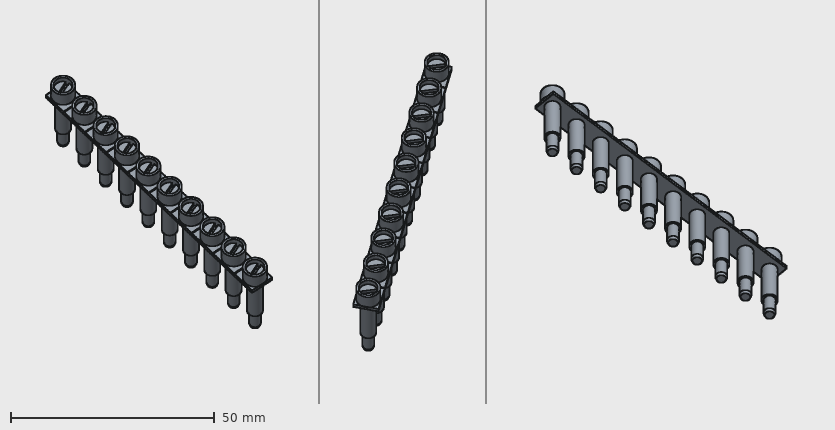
import cadquery as cq

screw_count = 10
pitch = 8.2
first_screw_x = -(screw_count - 1) * pitch / 2

plate_length = 79.3
plate_width = 6.4
plate_thickness = 1.0
groove_width = 0.2
groove_depth = 0.1

head_diameter = 6.0
head_height = 4.0
recess_diameter = 4.7
recess_depth = 1.5
slot_width = 0.9
slot_depth = 1.0
slot_angle = 112.5

shank_diameter = 4.0
shank_length = 12.0
tip_diameter = 3.0
tip_length = 5.8
taper_height = 0.9
taper_inset = 0.3

head_top_z = plate_thickness + head_height
recess_floor_z = head_top_z - recess_depth
screw_bottom_z = -shank_length - tip_length


def make_plate():
    """Flat bridge plate, scored across its top midway between neighbouring screws."""
    plate = cq.Workplane("XY").box(
        plate_length, plate_width, plate_thickness, centered=(True, True, False)
    )
    groove_floor_z = plate_thickness - groove_depth
    for index in range(screw_count - 1):
        groove_x = first_screw_x + (index + 0.5) * pitch
        groove = (
            cq.Workplane("XY", origin=(groove_x, 0, groove_floor_z))
            .box(groove_width, plate_width, groove_depth, centered=(True, True, False))
        )
        plate = plate.cut(groove)
    return plate


def make_screw_body():
    """Stepped screw on the Z axis, turned from its half profile."""
    head_radius = head_diameter / 2
    shank_radius = shank_diameter / 2
    tip_radius = tip_diameter / 2
    return (
        cq.Workplane("XZ")
        .moveTo(0, head_top_z)
        .lineTo(head_radius, head_top_z)
        .lineTo(head_radius, plate_thickness)
        .lineTo(shank_radius, plate_thickness)
        .lineTo(shank_radius, -shank_length)
        .lineTo(tip_radius, -shank_length)
        .lineTo(tip_radius, screw_bottom_z + taper_height)
        .lineTo(tip_radius - taper_inset, screw_bottom_z)
        .lineTo(0, screw_bottom_z)
        .close()
        .revolve(360, (0, 0, 0), (0, 1, 0))
    )


def make_drive_cutter():
    """Round recess plus a diametral slot that ends at the recess wall."""
    recess = (
        cq.Workplane("XY", origin=(0, 0, recess_floor_z))
        .circle(recess_diameter / 2)
        .extrude(recess_depth)
    )
    slot_bounds = (
        cq.Workplane("XY", origin=(0, 0, recess_floor_z - slot_depth))
        .circle(recess_diameter / 2)
        .extrude(slot_depth)
    )
    slot = (
        cq.Workplane("XY", origin=(0, 0, recess_floor_z - slot_depth))
        .box(recess_diameter, slot_width, slot_depth, centered=(True, True, False))
        .rotate((0, 0, 0), (0, 0, 1), slot_angle)
        .intersect(slot_bounds)
    )
    return recess.union(slot)


screw = make_screw_body().cut(make_drive_cutter())

result = make_plate()
for screw_index in range(screw_count):
    screw_x = first_screw_x + screw_index * pitch
    result = result.union(screw.translate((screw_x, 0, 0)))